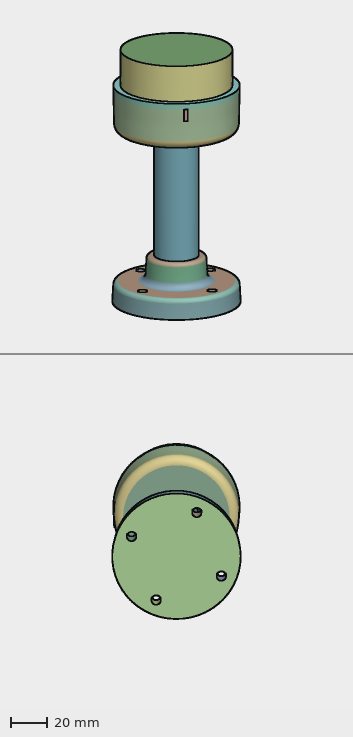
import cadquery as cq

base_radius = 35.56
base_top_radius = 34.9
base_height = 11.9
base_edge_fillet = 2.6

collar_foot_radius = 17.3
collar_top_radius = 16.6
collar_height = 26.8
collar_foot_fillet = 4.0
collar_edge_fillet = 2.2

hole_diameter = 5.2
hole_circle_radius = 27.2
hole_count = 4

pole_radius = 24.9 / 2

head_bottom = 98.0
head_bottom_radius = 34.5
head_edge_fillet = 5.1
rim_bottom = 121.6
rim_top = 125.0
rim_radius = 70.0 / 2
cap_radius = 62.0 / 2
total_height = 145.5

marker_width = 2.0
marker_height = 6.7
marker_outer_radius = 35.5
marker_inner_radius = 32.0
marker_angle = -38.0


def make_turned_body():
    """Revolve the sharp-edged shape, from the base to the cap, about Z."""
    outline = [
        (0, 0),
        (base_radius, 0),
        (base_top_radius, base_height),
        (collar_foot_radius, base_height),
        (collar_top_radius, collar_height),
        (pole_radius, collar_height),
        (pole_radius, head_bottom),
        (head_bottom_radius, head_bottom),
        (rim_radius, rim_bottom),
        (rim_radius, rim_top),
        (cap_radius, rim_top),
        (cap_radius, total_height),
        (0, total_height),
    ]
    return cq.Workplane("XZ").polyline(outline).close().revolve(360, (0, 0, 0), (0, 1, 0))


def round_edge(body, radius, height, fillet):
    """Fillet the circular edge that has the given radius and height."""
    reach = 0.1
    edge_finder = cq.selectors.BoxSelector(
        (-radius - reach, -radius - reach, height - reach),
        (radius + reach, radius + reach, height + reach),
        boundingbox=True,
    )
    inner_finder = cq.selectors.BoxSelector(
        (-radius + reach, -radius + reach, height - reach),
        (radius - reach, radius - reach, height + reach),
        boundingbox=True,
    )
    return body.edges(edge_finder - inner_finder).fillet(fillet)


def make_screw_holes():
    """Plain holes through the base."""
    return (
        cq.Workplane("XY")
        .polarArray(hole_circle_radius, 0, 360, hole_count)
        .circle(hole_diameter / 2)
        .extrude(base_height)
    )


def make_marker():
    """Bar sunk into the housing wall and standing slightly proud of it."""
    marker_depth = marker_outer_radius - marker_inner_radius
    return (
        cq.Workplane("XY")
        .box(marker_depth, marker_width, marker_height, centered=(False, True, False))
        .translate((marker_inner_radius, 0, rim_bottom - marker_height))
        .rotate((0, 0, 0), (0, 0, 1), marker_angle)
    )


body = make_turned_body()
body = round_edge(body, base_top_radius, base_height, base_edge_fillet)
body = round_edge(body, collar_foot_radius, base_height, collar_foot_fillet)
body = round_edge(body, collar_top_radius, collar_height, collar_edge_fillet)
body = round_edge(body, head_bottom_radius, head_bottom, head_edge_fillet)

result = body.cut(make_screw_holes()).union(make_marker())